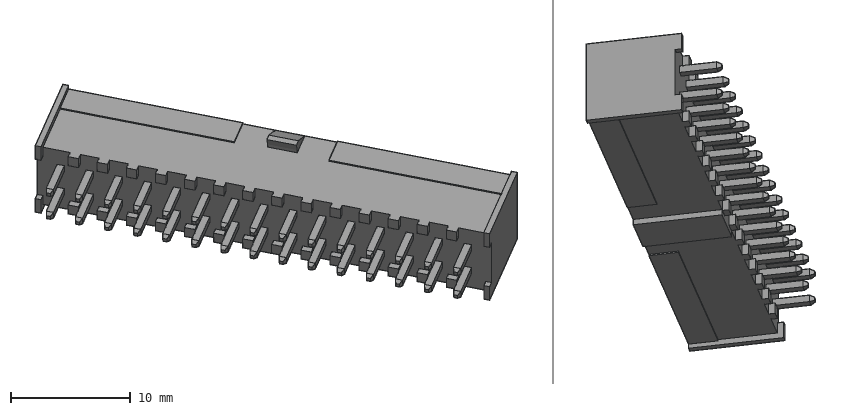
import cadquery as cq

LENGTH = 39.62
HOUSING_DEPTH = 8.15
OVERALL_DEPTH = 11.17
OVERALL_HEIGHT = 7.9

PLATE_HEIGHT = 7.35
PLATE_THICKNESS = 0.5
MID_Z = PLATE_HEIGHT / 2
BACK_Y = HOUSING_DEPTH

BODY_HEIGHT = 6.35
STANDOFF_LENGTH = 0.55
BODY_DEPTH = HOUSING_DEPTH - STANDOFF_LENGTH
BODY_TOP = MID_Z + BODY_HEIGHT / 2

PANEL_RISE = 0.1
PANEL_DEPTH = 2.55
PANEL_GAP = 8.25

COLUMNS = 15
PITCH = 2.55
PIN_WIDTH = 0.65
PIN_TIP_WIDTH = 0.3
PIN_TIP_LENGTH = 0.4
PIN_END_Y = HOUSING_DEPTH - OVERALL_DEPTH
STANDOFF_WIDTH = 0.9
STANDOFF_REACH = 1.5

LATCH_WIDTH = 2.58
LATCH_FLAT = 0.6
LATCH_DEPTH = 2.5
LATCH_UNDERCUT = 0.25
LATCH_FOOT_HEIGHT = 0.28
KEY_WIDTH = 3.75


def block(width, depth, height, x, y_front, z):
    """Box centred at x and z, running from y_front toward +Y."""
    return cq.Workplane("XY").box(width, depth, height).translate((x, y_front + depth / 2, z))


def make_end_plate(side):
    x = side * (LENGTH - PLATE_THICKNESS) / 2
    plate = block(PLATE_THICKNESS, HOUSING_DEPTH, PLATE_HEIGHT, x, 0, MID_Z)
    notch_height = PLATE_HEIGHT - 2 * STANDOFF_REACH
    return plate.cut(block(PLATE_THICKNESS, STANDOFF_LENGTH, notch_height, x, 0, MID_Z))


def make_body():
    body_length = LENGTH - 2 * PLATE_THICKNESS
    body = block(body_length, BODY_DEPTH, BODY_HEIGHT, 0, STANDOFF_LENGTH, MID_Z)
    panel_length = (body_length - PANEL_GAP) / 2
    panel_x = (PANEL_GAP + panel_length) / 2
    panel_height = BODY_HEIGHT + 2 * PANEL_RISE
    for side in (-1, 1):
        body = body.union(
            block(panel_length, PANEL_DEPTH, panel_height, side * panel_x, BACK_Y - PANEL_DEPTH, MID_Z)
        )
        body = body.union(make_end_plate(side))
    return body


def make_standoffs():
    height = STANDOFF_REACH - (PLATE_HEIGHT - BODY_HEIGHT) / 2
    offset_z = (BODY_HEIGHT - height) / 2
    spots = cq.Workplane("XZ").center(0, MID_Z).rarray(PITCH, 2 * offset_z, COLUMNS - 1, 2)
    return spots.rect(STANDOFF_WIDTH, height).extrude(-STANDOFF_LENGTH)


def make_pin():
    tip_start = PIN_END_Y + PIN_TIP_LENGTH
    shank = block(PIN_WIDTH, STANDOFF_LENGTH - tip_start, PIN_WIDTH, 0, tip_start, 0)
    tip = (
        cq.Workplane("XZ", origin=(0, tip_start, 0))
        .rect(PIN_WIDTH, PIN_WIDTH)
        .workplane(offset=PIN_TIP_LENGTH)
        .rect(PIN_TIP_WIDTH, PIN_TIP_WIDTH)
        .loft()
    )
    return shank.union(tip)


def make_pins():
    pin = make_pin()
    pins = cq.Workplane("XY")
    for column in range(COLUMNS):
        x = (column - (COLUMNS - 1) / 2) * PITCH
        for row in (-1, 1):
            pins = pins.add(pin.translate((x, 0, MID_Z + row * PITCH / 2)))
    return pins.combine()


def make_latch():
    """Wedge rising from the back edge to a flat crest with an undercut front."""
    front_y = BACK_Y - LATCH_DEPTH
    foot_y = front_y + LATCH_UNDERCUT
    profile = [
        (BACK_Y, BODY_TOP),
        (front_y + LATCH_FLAT, OVERALL_HEIGHT),
        (front_y, OVERALL_HEIGHT),
        (foot_y, BODY_TOP + LATCH_FOOT_HEIGHT),
        (foot_y, BODY_TOP),
    ]
    return cq.Workplane("YZ").polyline(profile).close().extrude(LATCH_WIDTH / 2, both=True)


def make_key():
    return block(KEY_WIDTH, BODY_DEPTH, MID_Z, 0, STANDOFF_LENGTH, MID_Z / 2)


result = make_body().union(make_standoffs()).union(make_pins()).union(make_latch()).union(make_key())